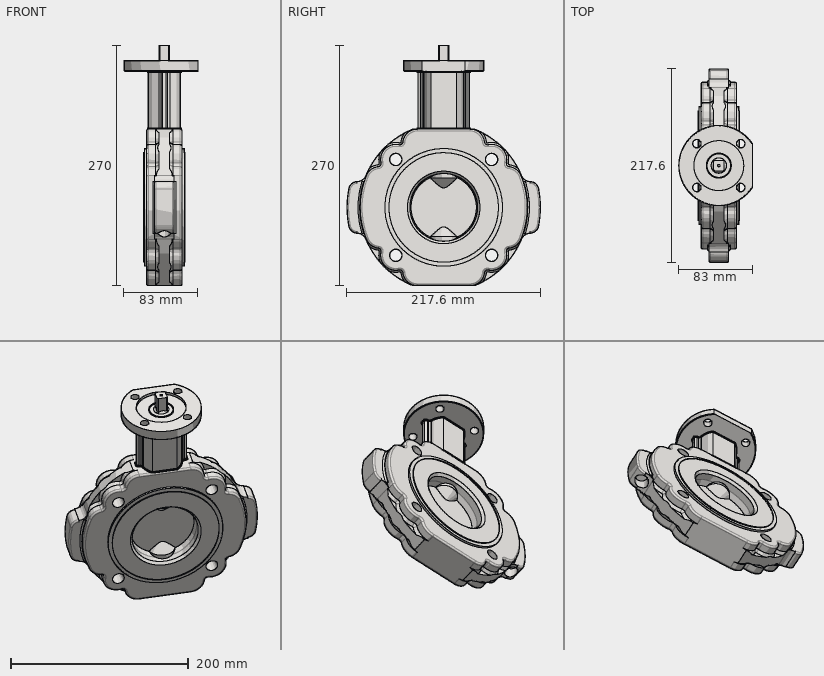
import cadquery as cq
import math


plate_half_width = 20.0
flat_height = 88.0
edge_round = 2.2
lobe_radius = 16.2
lobe_offset = 29.7
lug_radius = 17.0
notch_radius = 3.5
bolt_circle_radius = 76.0
bolt_hole_radius = 6.7
web_radius = 94.5
web_half_width = 6.0
web_blend_depth = 4.0
web_blend_spread = 2.2
web_root_radius = 81.0

step_radius = 66.0
step_half_width = 22.5
face_radius = 61.5
face_half_width = 23.5
mouth_radius = 40.8
bore_radius = 38.0
mouth_depth = 3.2
seat_radius = 36.7
seat_taper_start = 12.1

disc_half_width = 4.5
hub_radius = 15.7
hub_shoulder = 33.0

ear_reach = 108.8
ear_half_height = 29.2
ear_half_width = 11.0
ear_corner_radius = 10.3
ear_root_radius = 10.5
ear_flank_flare = 2.0
ear_edge_round = 2.0
ear_hole_radius = 7.5
ear_hole_offset = 96.4
ear_hole_depth = 16.2

neck_half_width = 18.0
neck_radius = 23.0
neck_rib_reach = 29.0
neck_rib_tip_half_width = 2.0
neck_rib_half_width = 3.5
neck_rib_root_half_width = 6.2
neck_rib_corner = 2.7
neck_rib_foot = 1.3
neck_collar = 1.0
neck_rim_height = 1.3

flange_radius = 45.0
flange_flat = 38.0
flange_bottom = 152.8
flange_top = 165.0
flange_chamfer = 0.8
flange_hole_circle_radius = 34.8
flange_hole_radius = 4.5
recess_radius = 28.0
recess_depth = 3.2
bush_radius = 14.0
bush_groove_width = 0.8
bush_groove_depth = 0.8

stem_top = 182.0
stem_width = 12.0
stem_corner_radius = 7.5
stem_shoulder_radius = 8.6
stem_shoulder_height = 2.5
centre_hole_radius = 1.3
centre_hole_depth = 2.2

SIDES = (1, -1)


def across(half_width):
    """YZ workplane from which an extrusion of twice half_width is centred on the body."""
    return cq.Workplane("YZ", origin=(-half_width, 0, 0))


def disc_across(radius, half_width):
    return across(half_width).circle(radius).extrude(2 * half_width)


def toward(start, end, distance):
    """Point at the given distance from start on the way to end."""
    length = math.dist(start, end)
    return tuple(a + (b - a) * distance / length for a, b in zip(start, end))


def mirrored(point):
    return (point[1], point[0])


def arc_middle(centre, start, end, radius):
    chord_middle = tuple((a + b) / 2 for a, b in zip(start, end))
    return toward(centre, chord_middle, radius)


def notch_centre(lobe, lug):
    """Centre of the notch arc that touches both the lobe circle and the lug circle from outside."""
    to_lobe = lobe_radius + notch_radius
    to_lug = lug_radius + notch_radius
    spacing = math.dist(lobe, lug)
    along = (spacing**2 + to_lobe**2 - to_lug**2) / (2 * spacing)
    outward = math.sqrt(to_lobe**2 - along**2)
    foot = toward(lobe, lug, along)
    dy, dz = (lug[0] - lobe[0]) / spacing, (lug[1] - lobe[1]) / spacing
    return (foot[0] - dz * outward, foot[1] + dy * outward)


def plate_outline(start):
    """Outline on the plane x = start: flat top and bottom, round sides, and four lugs between notches."""
    lobe = (lobe_offset, flat_height - lobe_radius)
    lug = (bolt_circle_radius / math.sqrt(2),) * 2
    notch = notch_centre(lobe, lug)
    side_radius = math.hypot(*lobe) + lobe_radius

    lobe_start = (lobe_offset, flat_height)
    lobe_end = toward(lobe, notch, lobe_radius)
    lobe_middle = arc_middle(lobe, lobe_start, lobe_end, lobe_radius)
    notch_middle = toward(notch, (0, 0), notch_radius)
    lug_start = toward(lug, notch, lug_radius)
    lug_middle = toward((0, 0), lug, bolt_circle_radius + lug_radius)
    side_lobe_end = toward((0, 0), mirrored(lobe), side_radius)
    side_lobe_middle = arc_middle(mirrored(lobe), mirrored(lobe_end), side_lobe_end, lobe_radius)

    quarter = [
        (lobe_middle, lobe_end),
        (notch_middle, lug_start),
        (lug_middle, mirrored(lug_start)),
        (mirrored(notch_middle), mirrored(lobe_end)),
        (side_lobe_middle, side_lobe_end),
    ]
    points = [lobe_start] + [p for arc in quarter for p in arc]
    below = [(y, -z) for y, z in reversed(points)]
    right_half = points + [(side_radius, 0)] + below
    left_half = [(-y, -z) for y, z in right_half]

    outline = cq.Workplane("YZ", origin=(start, 0, 0)).moveTo(*left_half[-1])
    for half in (right_half, left_half):
        outline = outline.lineTo(*half[0])
        for middle, end in zip(half[1::2], half[2::2]):
            outline = outline.threePointArc(middle, end)
    return outline.close()


def four_holes(start, circle_radius, hole_radius, length):
    """Tools for four holes on the diagonals of the start plane."""
    pitch = circle_radius * math.sqrt(2)
    return start.rect(pitch, pitch, forConstruction=True).vertices().circle(hole_radius).extrude(length)


def revolved(profile, plane, axis_end):
    """Closed profile turned about the line from the origin to axis_end, in plane coordinates."""
    return cq.Workplane(plane).polyline(profile).close().revolve(360, (0, 0, 0), axis_end)


def make_web():
    """Central rim between the plates, with a sloped blend running up to each plate outline."""
    blend_height = web_half_width + web_blend_depth
    slope = math.degrees(math.atan2(web_blend_spread, web_blend_depth))
    blend = plate_outline(-blend_height).extrude(web_blend_depth, taper=-slope)
    blend = blend.intersect(disc_across(web_radius, blend_height))
    rim = disc_across(web_radius, web_half_width).union(blend).union(blend.mirror("YZ"))
    return rim.intersect(cq.Workplane("XY").box(2 * web_radius, 2 * web_radius, 2 * flat_height))


def make_ears():
    bar = across(ear_half_width).rect(2 * ear_reach, 2 * ear_half_height).extrude(2 * ear_half_width)
    bar = bar.intersect(disc_across(ear_reach, ear_half_width))
    bar = bar.edges("|X").fillet(ear_corner_radius)
    return bar.faces("<X or >X").edges().fillet(ear_edge_round)


def make_ear_roots():
    """Concave blends that lead the web rim into the ears."""
    fillet_height = ear_half_height + ear_root_radius
    fillet_reach = math.sqrt((web_radius + ear_root_radius)**2 - fillet_height**2)
    rim_point = toward((0, 0), (fillet_reach, fillet_height), web_radius)
    roots = cq.Workplane("XY")
    for side_y in SIDES:
        for side_z in SIDES:
            root = (
                across(ear_half_width)
                .moveTo(side_y * web_root_radius, 0)
                .lineTo(side_y * fillet_reach, 0)
                .lineTo(side_y * fillet_reach, side_z * ear_half_height)
                .lineTo(side_y * rim_point[0], side_z * rim_point[1])
                .lineTo(side_y * web_root_radius, side_z * ear_half_height)
                .close()
                .extrude(2 * ear_half_width)
            )
            cutter = (
                across(ear_half_width)
                .center(side_y * fillet_reach, side_z * fillet_height)
                .circle(ear_root_radius)
                .extrude(2 * ear_half_width)
            )
            roots = roots.add(root.cut(cutter))
    return roots.combine()


def make_ear_flanks():
    """Flared band that joins the flanks of both ears to the plates."""
    outer_radius = web_radius + ear_flank_flare
    wide = ear_half_width + ear_flank_flare
    profile = [
        (-wide, web_root_radius),
        (-wide, web_radius),
        (-ear_half_width, outer_radius),
        (ear_half_width, outer_radius),
        (wide, web_radius),
        (wide, web_root_radius),
    ]
    band = revolved(profile, "XY", (1, 0))
    return band.intersect(cq.Workplane("XY").box(2 * wide, 2 * ear_reach, 2 * ear_half_height))


def make_ear_hole():
    """Blind hole drilled upward into the underside of the -Y ear."""
    mouth = ear_half_height + ear_root_radius
    return (
        cq.Workplane("XY", origin=(0, -ear_hole_offset, -mouth))
        .circle(ear_hole_radius)
        .extrude(ear_root_radius + ear_hole_depth)
    )


def make_body():
    plates = plate_outline(-plate_half_width).extrude(2 * plate_half_width)
    plates = plates.faces("<X or >X").edges().fillet(edge_round)
    body = plates.union(make_web()).union(make_ears()).union(make_ear_roots()).union(make_ear_flanks())
    body = body.union(disc_across(step_radius, step_half_width))
    body = body.union(disc_across(face_radius, face_half_width))

    bolt_holes = four_holes(
        across(plate_half_width), bolt_circle_radius, bolt_hole_radius, 2 * plate_half_width
    )
    return body.cut(bolt_holes).cut(make_ear_hole())


def make_bore():
    """Bore with chamfered mouths, then a taper to the seat in the middle."""
    mouth_end = face_half_width - mouth_depth
    profile = [
        (-face_half_width, 0),
        (-face_half_width, mouth_radius),
        (-mouth_end, bore_radius),
        (-seat_taper_start, bore_radius),
        (-disc_half_width, seat_radius),
        (disc_half_width, seat_radius),
        (seat_taper_start, bore_radius),
        (mouth_end, bore_radius),
        (face_half_width, mouth_radius),
        (face_half_width, 0),
    ]
    return revolved(profile, "XY", (1, 0))


def make_disc():
    """Closed disc carrying a 45 degree conical hub at the top and at the bottom."""
    disc = disc_across(bore_radius, disc_half_width)
    hub_profile = [
        (0, hub_shoulder - hub_radius),
        (hub_radius, hub_shoulder),
        (hub_radius, mouth_radius),
        (0, mouth_radius),
    ]
    hub = revolved(hub_profile, "XZ", (0, 1))
    return disc.union(hub).union(hub.mirror("XY"))


def neck_section(height, length, growth=0.0):
    """Flat-sided barrel with a narrow rib at each end, enlarged all round by growth."""
    start = cq.Workplane("XY", origin=(0, 0, height))
    barrel = start.circle(neck_radius + growth).extrude(length)
    flats = start.rect(2 * (neck_half_width + growth), 2 * neck_rib_reach).extrude(length)
    barrel = barrel.intersect(flats)
    reach = neck_rib_reach + growth
    quarter = [
        (neck_rib_root_half_width + growth, neck_radius),
        (neck_rib_half_width + growth, neck_radius + neck_rib_foot),
        (neck_rib_half_width + growth, reach - neck_rib_corner),
        (neck_rib_tip_half_width + growth, reach),
    ]
    end = quarter + [(-x, y) for x, y in reversed(quarter)]
    rib = end + [(-x, -y) for x, y in end]
    return barrel.union(start.polyline(rib).close().extrude(length))


def make_neck():
    neck = neck_section(step_radius, flange_bottom - step_radius)
    for rim_bottom in (flat_height, flange_bottom - neck_rim_height):
        neck = neck.union(neck_section(rim_bottom, neck_rim_height, neck_collar))
    return neck


def make_flange():
    start = cq.Workplane("XY", origin=(0, 0, flange_bottom))
    thickness = flange_top - flange_bottom
    flange = start.circle(flange_radius).extrude(thickness)
    flange = flange.faces("<Z").edges().chamfer(flange_chamfer)
    flat_side = cq.Workplane("XY").box(
        flange_radius, 2 * flange_radius, flange_top, centered=(False, True, False)
    )
    flange = flange.cut(flat_side.translate((flange_flat, 0, 0)))
    return flange.cut(four_holes(start, flange_hole_circle_radius, flange_hole_radius, thickness))


def make_flange_recess():
    """Round recess with the bush groove in its floor."""
    floor = flange_top - recess_depth
    recess = cq.Workplane("XY", origin=(0, 0, floor)).circle(recess_radius).extrude(recess_depth)
    groove = (
        cq.Workplane("XY", origin=(0, 0, floor - bush_groove_depth))
        .circle(bush_radius)
        .circle(bush_radius - bush_groove_width)
        .extrude(bush_groove_depth)
    )
    return recess.union(groove)


def make_stem():
    """Square stem with its corners turned down and a centre hole in its end, on a conical shoulder."""
    start = cq.Workplane("XY", origin=(0, 0, flange_bottom))
    length = stem_top - flange_bottom
    stem = start.rect(stem_width, stem_width).extrude(length)
    stem = stem.intersect(start.circle(stem_corner_radius).extrude(length))
    stem = stem.faces(">Z").workplane().hole(2 * centre_hole_radius, centre_hole_depth)
    shoulder = (
        cq.Workplane("XY", origin=(0, 0, flange_top - recess_depth))
        .circle(stem_shoulder_radius)
        .workplane(offset=stem_shoulder_height)
        .circle(stem_width / 2)
        .loft()
    )
    return stem.union(shoulder)


housing = make_body().union(make_neck()).union(make_flange())
housing = housing.cut(make_bore()).cut(make_flange_recess())
result = housing.union(make_disc()).union(make_stem())